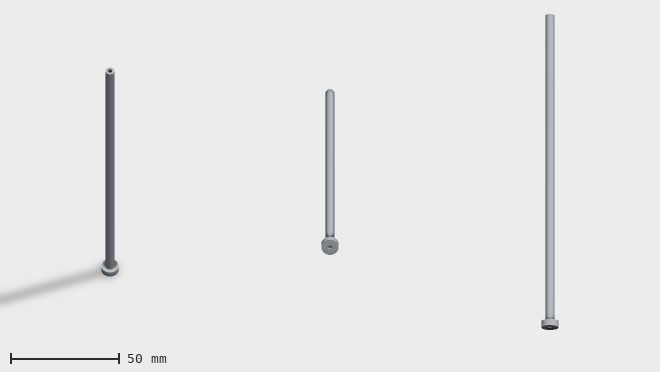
import cadquery as cq

total_length = 150.0
head_diameter = 8.0
head_height = 3.0
shaft_diameter = 4.0
bore_diameter = 2.1
neck_fillet = 0.3

head_radius = head_diameter / 2
shaft_radius = shaft_diameter / 2
bore_radius = bore_diameter / 2

half_section = (
    cq.Workplane("XZ")
    .moveTo(bore_radius, 0)
    .lineTo(head_radius, 0)
    .lineTo(head_radius, head_height)
    .lineTo(shaft_radius + neck_fillet, head_height)
    .radiusArc((shaft_radius, head_height + neck_fillet), neck_fillet)
    .lineTo(shaft_radius, total_length)
    .lineTo(bore_radius, total_length)
    .close()
)

result = half_section.revolve(360, (0, 0, 0), (0, 1, 0))